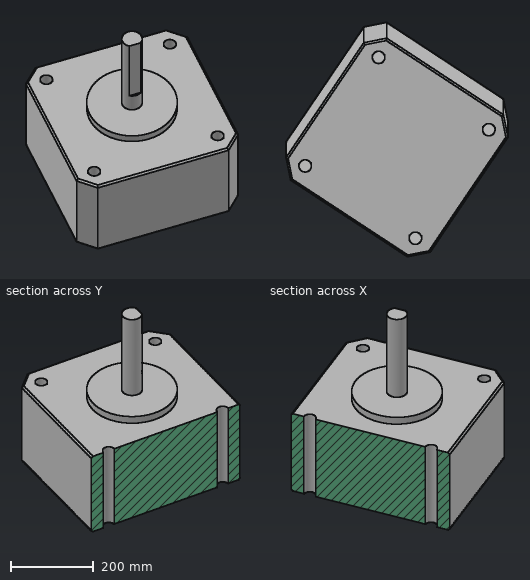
import cadquery as cq

body_width = 420.0
body_height = 230.0
corner_cut = 40.0
edge_chamfer = 5.0

hole_spacing = 321.0
hole_diameter = 30.0

pilot_diameter = 220.0
pilot_height = 20.0

total_height = 480.0
shaft_diameter = 50.0
flat_length = 180.0
flat_offset = 20.0

pilot_top = body_height + pilot_height
shaft_length = total_height - pilot_top


def make_body():
    """Square block with cut corners and chamfered top and bottom rims."""
    block = cq.Workplane("XY").rect(body_width, body_width).extrude(body_height)
    block = block.edges("|Z").chamfer(corner_cut)
    block = block.faces("<Z or >Z").edges().chamfer(edge_chamfer)
    holes = (
        cq.Workplane("XY")
        .rect(hole_spacing, hole_spacing, forConstruction=True)
        .vertices()
        .circle(hole_diameter / 2)
        .extrude(body_height)
    )
    return block.cut(holes)


def make_pilot():
    """Round pilot centred on the top of the body."""
    return cq.Workplane("XY").workplane(offset=body_height).circle(pilot_diameter / 2).extrude(pilot_height)


def make_shaft():
    """Round shaft whose upper stretch is cut flat on the +X side."""
    shaft = cq.Workplane("XY").workplane(offset=pilot_top).circle(shaft_diameter / 2).extrude(shaft_length)
    flat_cutter = (
        cq.Workplane("XY")
        .box(shaft_diameter, shaft_diameter, flat_length, centered=(False, True, False))
        .translate((flat_offset, 0, total_height - flat_length))
    )
    return shaft.cut(flat_cutter)


result = make_body().union(make_pilot()).union(make_shaft())